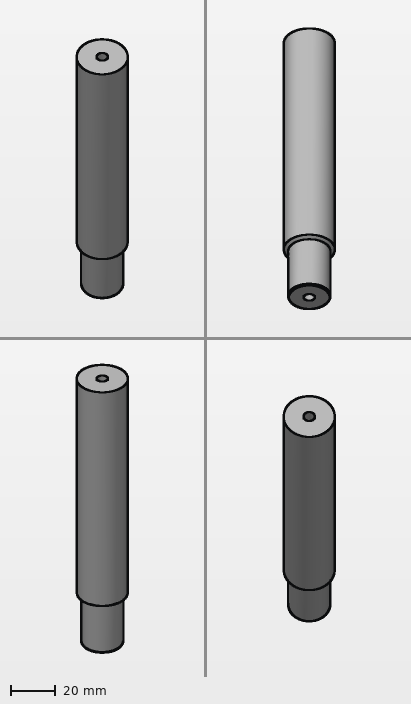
import cadquery as cq

total_length = 140.0
stub_length = 25.2
handle_length = total_length - stub_length

handle_diameter = 23.0
stub_diameter = 19.0
bore_diameter = 5.0

handle_taper_height = 1.1
handle_taper_inset = (handle_diameter - stub_diameter) / 2
stub_taper_height = 0.7
stub_taper_inset = 0.4


def bored_bar(diameter, length, base_height, taper_height, taper_inset):
    """Round upright bar with a conical lower rim and an axial through bore."""
    bore_radius = bore_diameter / 2
    outer_radius = diameter / 2
    top_height = base_height + length
    profile = [
        (bore_radius, base_height),
        (outer_radius - taper_inset, base_height),
        (outer_radius, base_height + taper_height),
        (outer_radius, top_height),
        (bore_radius, top_height),
    ]
    return cq.Workplane("XZ").polyline(profile).close().revolve(360, (0, 0, 0), (0, 1, 0))


handle = bored_bar(
    handle_diameter, handle_length, stub_length, handle_taper_height, handle_taper_inset
)

stub = bored_bar(stub_diameter, stub_length, 0, stub_taper_height, stub_taper_inset)

result = cq.Compound.makeCompound([handle.val(), stub.val()])